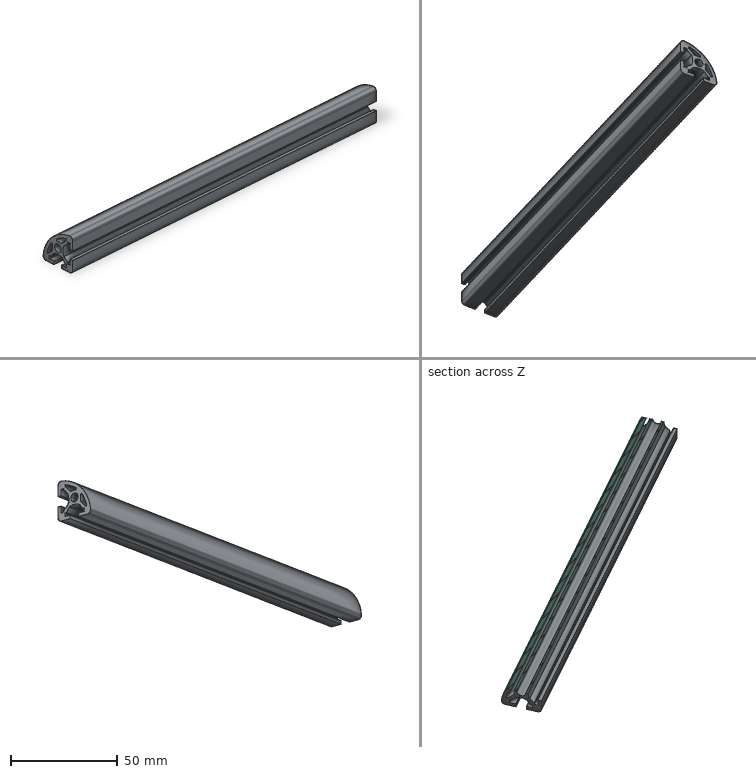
import cadquery as cq
import math

length = 200.0
module = 20.0
half = module / 2
corner_radius = 2.0
bore_diameter = 4.3

slot_opening = 5.2
lip_thickness = 1.8
undercut_width = 11.6
ledge_depth = 6.5
ledge_width = 9.8
floor_depth = 3.4
floor_corner_depth = 4.1
floor_width = 5.8

skin_thickness = 1.9
web_half_thickness = 0.8
pocket_floor = 3.65
pocket_end = -0.9
pocket_end_radius = 0.2
pocket_corner_radius = 0.45


def across_diagonal(point):
    """Mirror a section point in the symmetry line z = -x."""
    x, z = point
    return (-z, -x)


def extrude_section(sketch):
    """Extrude a section over the full length, centred on Y = 0."""
    return sketch.extrude(length / 2, both=True)


def body():
    """Quarter-round bar: two flat faces, a curved face and three rounded corners."""
    centre_height = math.sqrt((module - corner_radius) ** 2 - corner_radius ** 2)
    corner_x = half - corner_radius
    corner_z = centre_height - half
    tangent_angle = math.atan2(centre_height, -corner_radius)

    side_end = (half, corner_z)
    corner_mid = (
        corner_x + corner_radius * math.cos(tangent_angle / 2),
        corner_z + corner_radius * math.sin(tangent_angle / 2),
    )
    arc_start = (
        half + module * math.cos(tangent_angle),
        -half + module * math.sin(tangent_angle),
    )
    arc_mid = (half - module / math.sqrt(2), module / math.sqrt(2) - half)

    heel_start = (half - corner_radius, -half)
    heel_inset = corner_radius * (1 - 1 / math.sqrt(2))
    heel_mid = (half - heel_inset, heel_inset - half)

    outline = (
        cq.Workplane("XZ")
        .moveTo(*across_diagonal(heel_start))
        .lineTo(*side_end)
        .threePointArc(corner_mid, arc_start)
        .threePointArc(arc_mid, across_diagonal(arc_start))
        .threePointArc(across_diagonal(corner_mid), across_diagonal(side_end))
        .lineTo(*heel_start)
        .threePointArc(heel_mid, across_diagonal(heel_start))
        .close()
    )
    return extrude_section(outline)


def bore():
    """Round hole along the whole bar."""
    return extrude_section(cq.Workplane("XZ").circle(bore_diameter / 2))


def slot():
    """T-slot in the +X face, with slanted flanks and a hollow floor."""
    lip_inside = half - lip_thickness
    floor_corner = (floor_corner_depth, floor_width / 2)
    upper_side = [
        floor_corner,
        (ledge_depth, ledge_width / 2),
        (ledge_depth, undercut_width / 2),
        (lip_inside, undercut_width / 2),
        (lip_inside, slot_opening / 2),
        (half, slot_opening / 2),
    ]
    lower_side = [(x, -z) for x, z in reversed(upper_side)]
    outline = (
        cq.Workplane("XZ")
        .polyline(upper_side + lower_side)
        .threePointArc((floor_depth, 0), floor_corner)
        .close()
    )
    return extrude_section(outline)


def pocket():
    """Closed pocket above the bore, between the curved skin and the diagonal web."""
    web_offset = web_half_thickness * math.sqrt(2)
    wedge = (
        cq.Workplane("XZ")
        .polyline([
            (pocket_end, pocket_floor),
            (pocket_floor - web_offset, pocket_floor),
            (half - web_offset, half),
            (pocket_end, half),
        ])
        .close()
    )
    skin_inside = cq.Workplane("XZ").center(half, -half).circle(module - skin_thickness)
    cavity = extrude_section(wedge).intersect(extrude_section(skin_inside))

    end_corners = cq.selectors.BoxSelector((-half, -half, 0), (0, half, half))
    other_corners = cq.selectors.BoxSelector((0, -half, 0), (half, half, half))
    cavity = cavity.edges("|Y").edges(end_corners).fillet(pocket_end_radius)
    return cavity.edges("|Y").edges(other_corners).fillet(pocket_corner_radius)


mirror_normal = cq.Vector(1, 0, 1)

result = body().cut(bore())
for feature in (slot(), pocket()):
    result = result.cut(feature).cut(feature.mirror(mirror_normal))